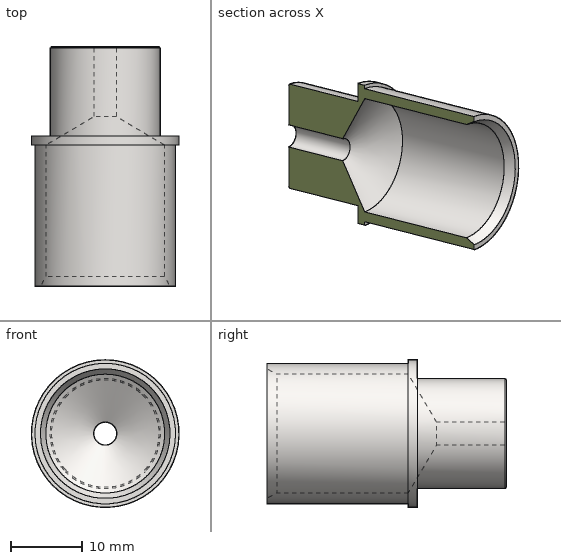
import cadquery as cq


total_length = 33.67
barrel_length = 19.85
collar_width = 1.3

barrel_diameter = 19.75
collar_diameter = 20.76
spigot_diameter = 15.5
spigot_chamfer = 0.2

mouth_diameter = 18.2
bore_diameter = 16.7
lead_in_depth = 1.4
bore_depth = barrel_length
hole_diameter = 3.2
cone_depth = 4.0

collar_front = barrel_length
collar_back = collar_front + collar_width
cone_end = bore_depth + cone_depth


def revolve_about_y(points):
    """Turn a closed (y, radius) outline into a solid of revolution about Y."""
    return cq.Workplane("YZ").polyline(points).close().revolve(360, (0, 0, 0), (1, 0, 0))


def make_outer_body():
    """Solid barrel, collar and chamfered spigot."""
    barrel_radius = barrel_diameter / 2
    collar_radius = collar_diameter / 2
    spigot_radius = spigot_diameter / 2
    return revolve_about_y([
        (0, 0),
        (0, barrel_radius),
        (collar_front, barrel_radius),
        (collar_front, collar_radius),
        (collar_back, collar_radius),
        (collar_back, spigot_radius),
        (total_length - spigot_chamfer, spigot_radius),
        (total_length, spigot_radius - spigot_chamfer),
        (total_length, 0),
    ])


def make_cavity():
    """Lead-in, bore, conical floor and through hole as one cutting solid."""
    bore_radius = bore_diameter / 2
    hole_radius = hole_diameter / 2
    return revolve_about_y([
        (0, 0),
        (0, mouth_diameter / 2),
        (lead_in_depth, bore_radius),
        (bore_depth, bore_radius),
        (cone_end, hole_radius),
        (total_length, hole_radius),
        (total_length, 0),
    ])


result = make_outer_body().cut(make_cavity())